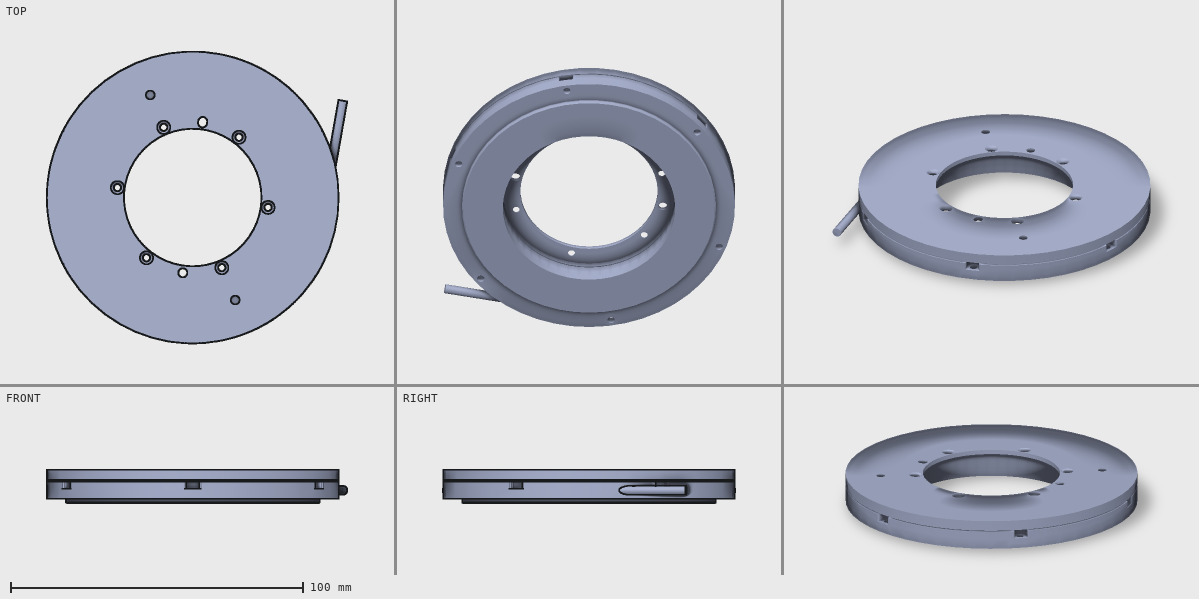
import cadquery as cq
import math

LIP_HEIGHT = 1.5
BASE_HEIGHT = 7.5
GAP = 0.5
PLATE_THICKNESS = 3.5
PLATE_BOTTOM = BASE_HEIGHT + GAP
PLATE_TOP = PLATE_BOTTOM + PLATE_THICKNESS

OUTER_DIAMETER = 100.0
OUTER_RADIUS = OUTER_DIAMETER / 2
LIP_DIAMETER = 87.0
LIP_CHAMFER = 0.4
INNER_BORE_DIAMETER = 59.0

PLATE_BORE_DIAMETER = 47.0
WEB_THICKNESS = 1.5
PLATE_ROTATION = -7.5
SCREW_COUNT = 6
SCREW_CIRCLE_RADIUS = 26.0
SCREW_HOLE_DIAMETER = 2.4
SINK_DIAMETER = 4.5
SINK_ANGLE = 90.0
PIN_DIAMETER = 3.0
PIN_SLOT_LENGTH = 3.5
PIN_ANGLE = PLATE_ROTATION + 90.0
OUTER_PIN_CIRCLE_RADIUS = 38.0
OUTER_PIN_ANGLE = PLATE_ROTATION + 120.0
OUTER_PIN_DEPTH = 1.2

NOTCH_COUNT = 6
NOTCH_START_ANGLE = 30.0
NOTCH_WIDTH = 4.6
NOTCH_DEPTH = 2.5
NOTCH_CORNER_RADIUS = 0.5
MOUNT_CIRCLE_RADIUS = 47.75
MOUNT_HOLE_DIAMETER = 2.5

CABLE_DIAMETER = 3.1
CABLE_TILT = 10.0
CABLE_OFFSET = 44.85
CABLE_LENGTH = 41.6
CABLE_HEIGHT = 4.45


def polar(radius, degrees):
    angle = math.radians(degrees)
    return radius * math.cos(angle), radius * math.sin(angle)


def disc(diameter, bottom, height):
    return cq.Workplane("XY").workplane(offset=bottom).circle(diameter / 2).extrude(height)


def make_plate():
    """Thin-webbed plate with a wide recess underneath, screw holes and pin holes."""
    plate = disc(OUTER_DIAMETER, PLATE_BOTTOM, PLATE_THICKNESS)
    plate = plate.cut(disc(PLATE_BORE_DIAMETER, PLATE_BOTTOM, PLATE_THICKNESS))
    plate = plate.cut(disc(INNER_BORE_DIAMETER, PLATE_BOTTOM, PLATE_THICKNESS - WEB_THICKNESS))
    top = cq.Workplane("XY").workplane(offset=PLATE_TOP)

    screw_points = [
        polar(SCREW_CIRCLE_RADIUS, PLATE_ROTATION + i * 360.0 / SCREW_COUNT)
        for i in range(SCREW_COUNT)
    ]
    plate = plate.faces(">Z").workplane(origin=(0, 0, PLATE_TOP)).pushPoints(screw_points)
    plate = plate.cskHole(SCREW_HOLE_DIAMETER, SINK_DIAMETER, SINK_ANGLE, PLATE_THICKNESS)

    slot = top.center(*polar(SCREW_CIRCLE_RADIUS, PIN_ANGLE))
    slot = slot.slot2D(PIN_SLOT_LENGTH, PIN_DIAMETER, PIN_ANGLE).extrude(-PLATE_THICKNESS)
    inner_pin = top.center(*polar(SCREW_CIRCLE_RADIUS, PIN_ANGLE + 180.0))
    inner_pin = inner_pin.circle(PIN_DIAMETER / 2).extrude(-PLATE_THICKNESS)
    plate = plate.cut(slot).cut(inner_pin)

    for half_turn in (0.0, 180.0):
        outer_pin = top.center(*polar(OUTER_PIN_CIRCLE_RADIUS, OUTER_PIN_ANGLE + half_turn))
        plate = plate.cut(outer_pin.circle(PIN_DIAMETER / 2).extrude(-OUTER_PIN_DEPTH))
    return plate


def notch_cutter():
    """Round-backed notch open at the rim on the +X side, its mouth corners rounded outwards."""
    half = NOTCH_WIDTH / 2
    corner = NOTCH_CORNER_RADIUS
    flare = half + corner
    rounding_end = math.sqrt(OUTER_RADIUS**2 - flare**2)
    rounding_start = rounding_end - corner
    mouth = OUTER_RADIUS + corner
    bend = corner * math.sqrt(0.5)
    bend_x = rounding_start + bend
    bend_y = flare - bend
    outline = (
        cq.Workplane("XY")
        .workplane(offset=BASE_HEIGHT - NOTCH_DEPTH)
        .moveTo(MOUNT_CIRCLE_RADIUS, half)
        .threePointArc((MOUNT_CIRCLE_RADIUS - half, 0), (MOUNT_CIRCLE_RADIUS, -half))
        .lineTo(rounding_start, -half)
        .threePointArc((bend_x, -bend_y), (rounding_end, -flare))
        .lineTo(mouth, -flare)
        .lineTo(mouth, flare)
        .lineTo(rounding_end, flare)
        .threePointArc((bend_x, bend_y), (rounding_start, half))
        .close()
    )
    hole = cq.Workplane("XY").center(MOUNT_CIRCLE_RADIUS, 0).circle(MOUNT_HOLE_DIAMETER / 2)
    return outline.extrude(NOTCH_DEPTH).union(hole.extrude(BASE_HEIGHT))


def make_cable():
    """Round cable starting inside the base, where its line passes closest to the axis."""
    start = polar(CABLE_OFFSET, -CABLE_TILT)
    direction = polar(1.0, 90.0 - CABLE_TILT)
    plane = cq.Plane(origin=(*start, CABLE_HEIGHT), xDir=(0, 0, 1), normal=(*direction, 0))
    return cq.Workplane(plane).circle(CABLE_DIAMETER / 2).extrude(CABLE_LENGTH)


def make_base(cable):
    """Ring with a locating lip underneath, rim notches and a hole fitting the cable."""
    base = disc(LIP_DIAMETER, 0, LIP_HEIGHT).faces("<Z").edges().chamfer(LIP_CHAMFER)
    base = base.union(disc(OUTER_DIAMETER, LIP_HEIGHT, BASE_HEIGHT - LIP_HEIGHT))
    base = base.cut(disc(INNER_BORE_DIAMETER, 0, BASE_HEIGHT))
    cutter = notch_cutter()
    for i in range(NOTCH_COUNT):
        angle = NOTCH_START_ANGLE + i * 360.0 / NOTCH_COUNT
        base = base.cut(cutter.rotate((0, 0, 0), (0, 0, 1), angle))
    return base.cut(cable)


plate = make_plate()
cable = make_cable()
base = make_base(cable)

result = cq.Compound.makeCompound([plate.val(), base.val(), cable.val()])